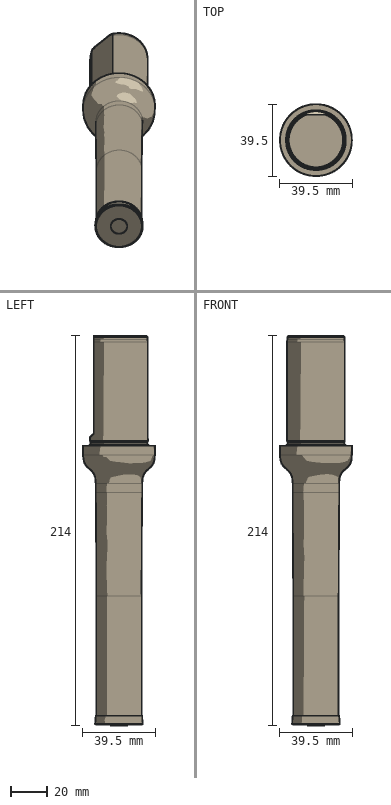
import cadquery as cq

total_height = 214.0
pad_height = 0.5
head_top = 5.4
taper_bottom = 71.3
taper_top = 128.0
neck_top = 133.1
flange_bottom = 148.5
flange_top = 153.7
relief_top = 155.5
shank_bottom = 156.5
lead_in_bottom = 210.5
lip_bottom = 212.0

pad_diameter = 9.0
head_top_diameter = 25.7
head_diameter = 26.3
shaft_diameter = 25.0
neck_diameter = 25.7
flange_diameter = 39.5
relief_foot_diameter = 33.0
relief_diameter = 31.2
shank_diameter = 31.9
lip_diameter = 31.5

blend_handle = 9.6

top_chamfer = 0.9
head_chamfer = 0.6

flat_distance = 14.0
flat_runout_bottom = 158.1


def make_shank_flat_cutter():
    """Prism that removes the flat and its sloped lower end."""
    outer_y = flange_diameter / 2
    runout_outer_z = flat_runout_bottom - (outer_y - shank_diameter / 2)
    runout_inner_z = flat_runout_bottom + (shank_diameter / 2 - flat_distance)
    return (
        cq.Workplane("YZ")
        .moveTo(flat_distance, total_height)
        .lineTo(flat_distance, runout_inner_z)
        .lineTo(outer_y, runout_outer_z)
        .lineTo(outer_y, total_height)
        .close()
        .extrude(flange_diameter / 2, both=True)
    )


def make_holder():
    """Turned shaft, flange and shank, with a flat on the shank."""
    turned = (
        cq.Workplane("XZ")
        .moveTo(0, head_top)
        .lineTo(shaft_diameter / 2, head_top)
        .lineTo(shaft_diameter / 2, taper_bottom)
        .lineTo(neck_diameter / 2, taper_top)
        .lineTo(neck_diameter / 2, neck_top)
        .bezier(
            [
                (neck_diameter / 2, neck_top + blend_handle),
                (flange_diameter / 2, flange_bottom - blend_handle),
                (flange_diameter / 2, flange_bottom),
            ],
            includeCurrent=True,
        )
        .lineTo(flange_diameter / 2, flange_top)
        .lineTo(relief_foot_diameter / 2, flange_top)
        .lineTo(relief_diameter / 2, flange_top + (relief_foot_diameter - relief_diameter) / 2)
        .lineTo(relief_diameter / 2, relief_top)
        .lineTo(shank_diameter / 2, shank_bottom)
        .lineTo(shank_diameter / 2, lead_in_bottom)
        .lineTo(lip_diameter / 2, lip_bottom)
        .lineTo(lip_diameter / 2, total_height - top_chamfer)
        .lineTo(lip_diameter / 2 - top_chamfer, total_height)
        .lineTo(0, total_height)
        .close()
        .revolve(360, (0, 0), (0, 1))
    )
    return turned.cut(make_shank_flat_cutter())


def make_head():
    """Conical disc under the shaft, with a small round pad below it."""
    return (
        cq.Workplane("XZ")
        .lineTo(pad_diameter / 2, 0)
        .lineTo(pad_diameter / 2, pad_height)
        .lineTo(head_diameter / 2 - head_chamfer, pad_height)
        .lineTo(head_diameter / 2, pad_height + head_chamfer)
        .lineTo(head_top_diameter / 2, head_top)
        .lineTo(0, head_top)
        .close()
        .revolve(360, (0, 0), (0, 1))
    )


holder = make_holder()
head = make_head()
result = cq.Compound.makeCompound([holder.val(), head.val()])